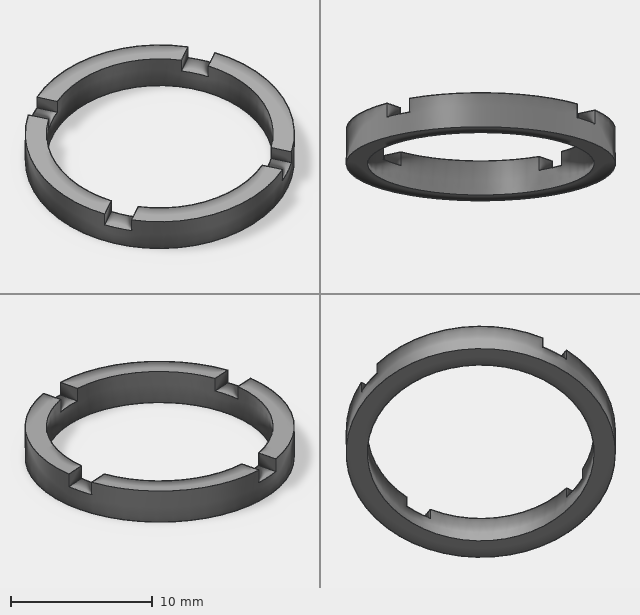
import cadquery as cq

outer_diameter = 19.0
inner_diameter = 16.0
height = 2.5

notch_width = 2.0
notch_depth = 1.0
notch_floor = height - notch_depth


def ring():
    return (
        cq.Workplane("XY")
        .circle(outer_diameter / 2)
        .circle(inner_diameter / 2)
        .extrude(height)
    )


def notch_bar(angle):
    """Bar across the whole ring that cuts two opposite notches."""
    return (
        cq.Workplane("XY")
        .workplane(offset=notch_floor)
        .rect(outer_diameter, notch_width)
        .extrude(notch_depth)
        .rotate((0, 0, 0), (0, 0, 1), angle)
    )


result = ring()
for angle in (0, 90):
    result = result.cut(notch_bar(angle))